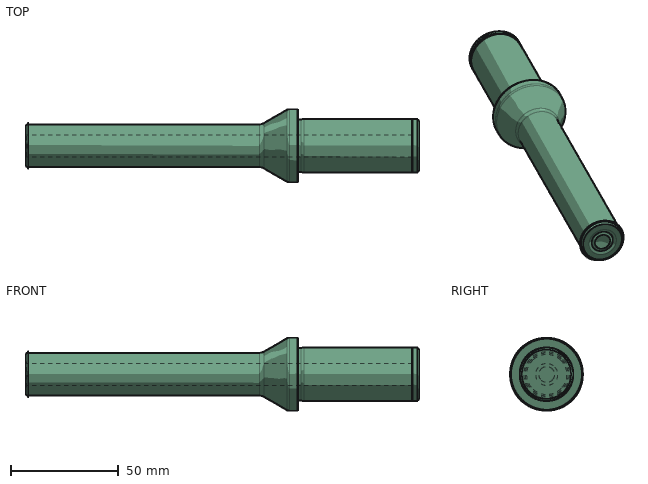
import cadquery as cq
import math

total_length = 183.0
shoulder_start = 121.9
shoulder_end = 126.8
neck_end = 128.0
neck_taper_end = 129.2
head_start = 179.3

rod_radius = 20.0 / 2
collar_radius = 34.0 / 2
shank_radius = 25.0 / 2
neck_radius = 24.5 / 2
core_radius = 5.1

cone_angle = math.radians(30)
root_fillet = 4.4
collar_fillet = 2.2
rim_radius = 10.6
rim_chamfer_length = 1.3
rim_chamfer_depth = 1.3
collar_chamfer = 0.5
seam_width = 0.5
head_chamfer = 1.1
tip_chamfer_width = 1.5
tip_chamfer_depth = 0.4
dimple_depth = 0.5


def revolve_about_x(profile):
    """Turn a closed half-profile, drawn as (x, radius), about the X axis."""
    return profile.close().revolve(360, (0, 0, 0), (1, 0, 0))


def blend(radius):
    """Tangent length, tangent point offset on the cone and mid-arc offset of a cone fillet."""
    tangent = radius * math.tan(cone_angle / 2)
    along_cone = (tangent * math.cos(cone_angle), tangent * math.sin(cone_angle))
    middle = (radius * math.sin(cone_angle / 2), radius * (1 - math.cos(cone_angle / 2)))
    return tangent, along_cone, middle


def make_housing():
    """Rod, cone, collar and shank in one piece, bored through for the core."""
    cone_start = shoulder_start - (collar_radius - rod_radius) / math.tan(cone_angle)
    root_tangent, root_cone, root_middle = blend(root_fillet)
    top_tangent, top_cone, top_middle = blend(collar_fillet)
    root_start = cone_start - root_tangent
    top_end = shoulder_start + top_tangent

    profile = (
        cq.Workplane("XY")
        .moveTo(tip_chamfer_depth, core_radius)
        .lineTo(0, core_radius + tip_chamfer_width)
        .lineTo(0, rim_radius - rim_chamfer_depth)
        .lineTo(rim_chamfer_length, rim_radius)
        .lineTo(rim_chamfer_length, rod_radius)
        .lineTo(root_start, rod_radius)
        .threePointArc(
            (root_start + root_middle[0], rod_radius + root_middle[1]),
            (cone_start + root_cone[0], rod_radius + root_cone[1]),
        )
        .lineTo(shoulder_start - top_cone[0], collar_radius - top_cone[1])
        .threePointArc(
            (top_end - top_middle[0], collar_radius - top_middle[1]),
            (top_end, collar_radius),
        )
        .lineTo(shoulder_end - collar_chamfer, collar_radius)
        .lineTo(shoulder_end, collar_radius - collar_chamfer)
        .lineTo(shoulder_end, neck_radius)
        .lineTo(neck_end, neck_radius)
        .lineTo(neck_taper_end, shank_radius)
        .lineTo(head_start, shank_radius)
        .lineTo(head_start, core_radius)
    )
    return revolve_about_x(profile)


def make_core():
    """Core rod through the bore, with a dimpled tip and a head that closes the shank."""
    profile = (
        cq.Workplane("XY")
        .moveTo(dimple_depth, 0)
        .lineTo(0, core_radius - tip_chamfer_width)
        .lineTo(tip_chamfer_depth, core_radius)
        .lineTo(head_start, core_radius)
        .lineTo(head_start, neck_radius)
        .lineTo(head_start + seam_width, neck_radius)
        .lineTo(head_start + seam_width, shank_radius)
        .lineTo(total_length - head_chamfer, shank_radius)
        .lineTo(total_length, shank_radius - head_chamfer)
        .lineTo(total_length, 0)
    )
    return revolve_about_x(profile)


housing = make_housing()
core = make_core()

result = cq.Compound.makeCompound([housing.val(), core.val()])